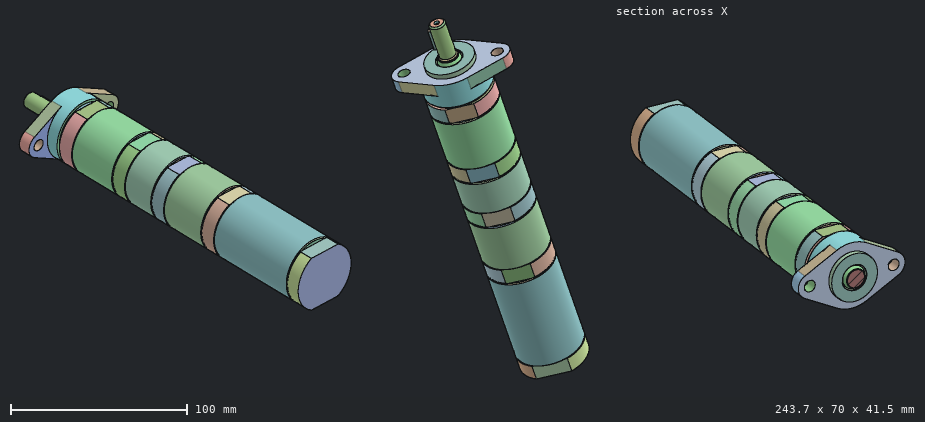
import cadquery as cq
import math


total_length = 243.7
shaft_shoulder_x = 23.0
pilot_x = 25.8
flange_x = 29.0
flange_thickness = 8.0
groove_x = 45.0
groove_width = 2.0

body_diameter = 41.5
groove_diameter = 38.0
pilot_diameter = 30.0
seal_recess_diameter = 16.0
seal_recess_depth = 1.0
shaft_diameter = 10.0
shaft_chamfer = 1.0
center_countersink_diameter = 3.2
center_drill_diameter = 1.6
center_drill_depth = 2.5

seal_lip_diameter = 12.7
seal_lip_width = 0.7
seal_waist_diameter = 11.5
seal_waist_width = 1.0
seal_collar_diameter = 14.5
seal_collar_front_diameter = 12.0

flange_span = 70.0
flange_end_radius = 8.0
bolt_spacing = 54.8
bolt_hole_diameter = 7.0

key_x = 4.1
key_length = 13.0
key_width = 3.0
key_top = 6.3

flat_length = 10.0
flat_starts = (groove_x + groove_width, 90.7, 122.8, 164.0)
flats_across = 37.8
end_flat_length = 9.3
end_flats_across = 35.8
bevel = 0.6


def disc(start, length, diameter):
    """Cylinder on the X axis."""
    return cq.Workplane("YZ").workplane(offset=start).circle(diameter / 2).extrude(length)


def cone(start, length, start_diameter, end_diameter):
    """Truncated cone on the X axis."""
    profile = [
        (start, 0),
        (start, start_diameter / 2),
        (start + length, end_diameter / 2),
        (start + length, 0),
    ]
    return cq.Workplane("XY").polyline(profile).close().revolve(360, (0, 0, 0), (1, 0, 0))


def make_body():
    body = disc(flange_x, total_length - flange_x, body_diameter)
    groove = disc(groove_x, groove_width, body_diameter).cut(disc(groove_x, groove_width, groove_diameter))
    return body.cut(groove)


def make_pilot():
    pilot = disc(pilot_x, flange_x - pilot_x, pilot_diameter)
    return pilot.cut(disc(pilot_x, seal_recess_depth, seal_recess_diameter))


def make_flange():
    """Two ears: each runs along common tangents from the body circle to a rounded end."""
    center_radius = body_diameter / 2
    end_center = flange_span / 2 - flange_end_radius
    tangent_sin = (center_radius - flange_end_radius) / end_center
    tangent_cos = math.sqrt(1 - tangent_sin**2)
    inner_y = center_radius * tangent_sin
    inner_z = center_radius * tangent_cos
    outer_y = end_center + flange_end_radius * tangent_sin
    outer_z = flange_end_radius * tangent_cos
    plate = (
        cq.Workplane("YZ")
        .workplane(offset=flange_x)
        .moveTo(-inner_y, inner_z)
        .lineTo(inner_y, inner_z)
        .lineTo(outer_y, outer_z)
        .threePointArc((flange_span / 2, 0), (outer_y, -outer_z))
        .lineTo(inner_y, -inner_z)
        .lineTo(-inner_y, -inner_z)
        .lineTo(-outer_y, -outer_z)
        .threePointArc((-flange_span / 2, 0), (-outer_y, outer_z))
        .close()
        .extrude(flange_thickness)
    )
    bolt_holes = (
        cq.Workplane("YZ")
        .workplane(offset=flange_x)
        .pushPoints([(-bolt_spacing / 2, 0), (bolt_spacing / 2, 0)])
        .circle(bolt_hole_diameter / 2)
        .extrude(flange_thickness)
    )
    return plate.cut(bolt_holes)


def make_shaft():
    shaft = disc(0, flange_x, shaft_diameter).faces("<X").chamfer(shaft_chamfer)
    countersink_depth = (center_countersink_diameter - center_drill_diameter) / 2
    countersink = cone(0, countersink_depth, center_countersink_diameter, center_drill_diameter)
    drill = disc(0, center_drill_depth, center_drill_diameter)
    return shaft.cut(countersink).cut(drill)


def make_seal():
    waist_x = shaft_shoulder_x + seal_lip_width
    collar_x = waist_x + seal_waist_width
    collar_length = pilot_x + seal_recess_depth - collar_x
    lip = cone(shaft_shoulder_x, seal_lip_width, shaft_diameter, seal_lip_diameter)
    waist = disc(waist_x, seal_waist_width, seal_waist_diameter)
    collar = cone(collar_x, collar_length, seal_collar_front_diameter, seal_collar_diameter)
    return lip.union(waist).union(collar)


def make_key():
    """Rectangular key rooted on the shaft axis."""
    key = cq.Workplane("XY").box(key_length, key_top, key_width, centered=(False, False, True))
    return key.translate((key_x, 0, 0))


def flat_cut(start, length, across):
    """Material removed beyond two parallel flats."""
    ring = disc(start, length, 2 * body_diameter)
    bar = cq.Workplane("XY").box(length, 2 * body_diameter, across, centered=(False, True, True))
    return ring.cut(bar.translate((start, 0, 0)))


def bevel_cut(edge_x, direction):
    """Edge break on the round section lying on the given side (+1 or -1) of edge_x."""
    radius = body_diameter / 2
    profile = [(edge_x, radius - bevel), (edge_x, radius), (edge_x + direction * bevel, radius)]
    return cq.Workplane("XY").polyline(profile).close().revolve(360, (0, 0, 0), (1, 0, 0))


result = make_body().union(make_pilot()).union(make_flange())
result = result.union(make_shaft()).union(make_seal()).union(make_key())

for flat_start in flat_starts:
    result = result.cut(flat_cut(flat_start, flat_length, flats_across))
    result = result.cut(bevel_cut(flat_start + flat_length, 1))
for flat_start in flat_starts[1:]:
    result = result.cut(bevel_cut(flat_start, -1))

end_flat_start = total_length - end_flat_length
result = result.cut(flat_cut(end_flat_start, end_flat_length, end_flats_across))
result = result.cut(bevel_cut(end_flat_start, -1))